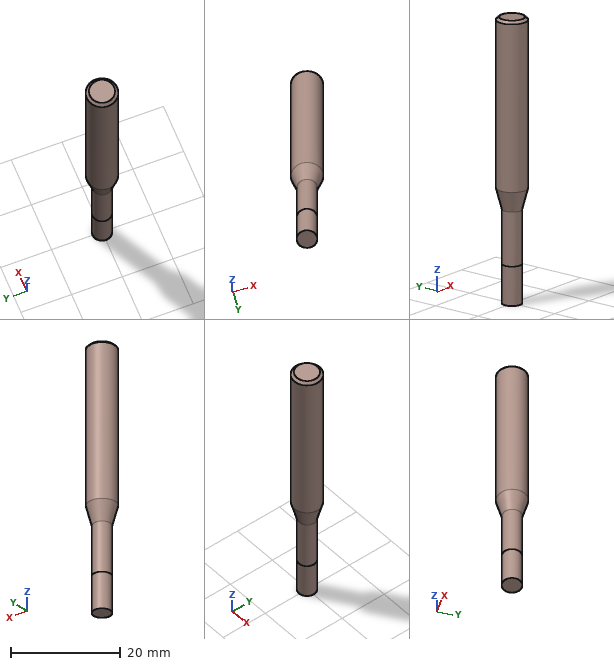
import cadquery as cq

total_length = 55.0
shank_diameter = 6.0
neck_diameter = 3.8
tip_length = 7.6
cone_start = 18.1
cone_end = 22.2
chamfer_width = 0.6
chamfer_height = 0.55

shank_radius = shank_diameter / 2
neck_radius = neck_diameter / 2


def make_tip():
    """Plain cylindrical tip, standing on the XY plane."""
    return cq.Workplane("XY").circle(neck_radius).extrude(tip_length)


def make_shank():
    """Neck, cone and chamfered shank, revolved about the Z axis."""
    return (
        cq.Workplane("XZ")
        .moveTo(0, tip_length)
        .lineTo(neck_radius, tip_length)
        .lineTo(neck_radius, cone_start)
        .lineTo(shank_radius, cone_end)
        .lineTo(shank_radius, total_length - chamfer_height)
        .lineTo(shank_radius - chamfer_width, total_length)
        .lineTo(0, total_length)
        .close()
        .revolve(360, (0, 0, 0), (0, 1, 0))
    )


tip = make_tip()
shank = make_shank()

result = cq.Compound.makeCompound([tip.val(), shank.val()])